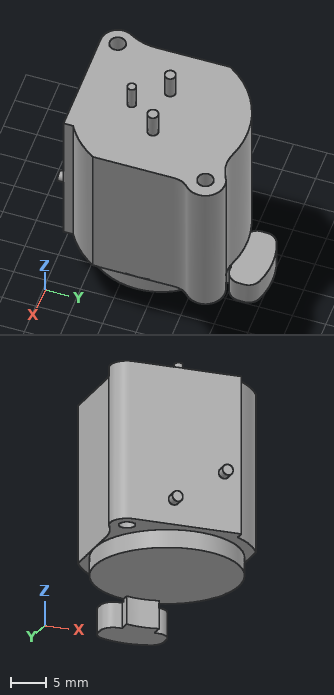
import cadquery as cq
import math

knob_top = 3.9
collar_bottom = 4.25
body_bottom = 6.95
body_top = 30.95
pin_top = 34.8

body_radius = 12.8
side_x = 11.0
front_y = -12.5
step_x = 6.47
hole_offset = 9.92
hole_radius = 1.2
front_ear_radius = -front_y - hole_offset
rear_ear_radius = 2.92
top_blend_radius = 5.0
right_blend_radius = 3.0
front_blend_radius = 8.0

collar_radius = side_x
neck_width = 4.95
neck_inner_radius = 9.78
knob_width = 10.1
knob_front_y = 11.25
knob_rear_y = 16.6
knob_corner_radius = 2.0
knob_crown_radius = 11.0

pin_spacing = 7.62
pin_radius = 0.8
small_pin_radius = 0.63
small_pin_y = -4.45
front_pin_length = 1.53
left_pin_z = 10.72
right_pin_z = 15.8


def along(start, end, distance):
    """Point at a distance from start, on the line towards end."""
    length = math.dist(start, end)
    return tuple(a + (b - a) * distance / length for a, b in zip(start, end))


def arc_middle(center, start, end):
    """Middle of the short arc from start to end."""
    chord_middle = along(start, end, math.dist(start, end) / 2)
    return along(center, chord_middle, math.dist(center, start))


def circle_y(radius, x):
    """Height of a circle above its centre, at x from the centre."""
    return math.sqrt(radius**2 - x**2)


def body_outline():
    axis = (0, 0)
    rear_ear = (hole_offset, hole_offset)
    front_ear = (-hole_offset, -hole_offset)
    corner_y = circle_y(body_radius, side_x)
    step_y = -circle_y(body_radius, step_x)

    ear_distance = math.hypot(*rear_ear)
    to_axis = body_radius + top_blend_radius
    to_ear = rear_ear_radius + top_blend_radius
    apex_cos = (to_axis**2 + ear_distance**2 - to_ear**2) / (2 * to_axis * ear_distance)
    angle = math.atan2(rear_ear[1], rear_ear[0]) + math.acos(apex_cos)
    top_blend = (to_axis * math.cos(angle), to_axis * math.sin(angle))
    arc_end = along(axis, top_blend, body_radius)
    ear_start = along(rear_ear, top_blend, rear_ear_radius)

    right_blend_x = side_x + right_blend_radius
    to_rear_ear = rear_ear_radius + right_blend_radius
    right_blend = (right_blend_x, hole_offset - circle_y(to_rear_ear, right_blend_x - hole_offset))
    ear_end = along(rear_ear, right_blend, rear_ear_radius)
    right_side_top = (side_x, right_blend[1])

    left_blend_x = -side_x - front_blend_radius
    to_front_ear = front_ear_radius + front_blend_radius
    left_blend = (left_blend_x, -hole_offset + circle_y(to_front_ear, left_blend_x + hole_offset))
    left_ear_end = along(front_ear, left_blend, front_ear_radius)
    left_side_bottom = (-side_x, left_blend[1])

    return (
        cq.Workplane("XY", origin=(0, 0, body_bottom))
        .moveTo(-side_x, corner_y)
        .threePointArc((0, body_radius), arc_end)
        .threePointArc(arc_middle(top_blend, arc_end, ear_start), ear_start)
        .threePointArc(along(rear_ear, axis, -rear_ear_radius), ear_end)
        .threePointArc(arc_middle(right_blend, ear_end, right_side_top), right_side_top)
        .lineTo(side_x, -corner_y)
        .threePointArc(along(axis, (1, -1), body_radius), (step_x, step_y))
        .lineTo(step_x, front_y)
        .lineTo(-hole_offset, front_y)
        .threePointArc(along(front_ear, axis, -front_ear_radius), left_ear_end)
        .threePointArc(arc_middle(left_blend, left_ear_end, left_side_bottom), left_side_bottom)
        .close()
    )


def make_body():
    holes = (
        cq.Workplane("XY", origin=(0, 0, body_bottom))
        .pushPoints([(hole_offset, hole_offset), (-hole_offset, -hole_offset)])
        .circle(hole_radius)
        .extrude(body_top - body_bottom)
    )
    return body_outline().extrude(body_top - body_bottom).cut(holes)


def make_collar():
    return (
        cq.Workplane("XY", origin=(0, 0, collar_bottom))
        .circle(collar_radius)
        .extrude(body_bottom - collar_bottom)
    )


def make_knob():
    half_width = knob_width / 2
    crown_side_y = knob_rear_y - knob_crown_radius + circle_y(knob_crown_radius, half_width)
    return (
        cq.Workplane("XY")
        .moveTo(-half_width, knob_front_y)
        .lineTo(half_width, knob_front_y)
        .lineTo(half_width, crown_side_y)
        .threePointArc((0, knob_rear_y), (-half_width, crown_side_y))
        .close()
        .extrude(knob_top)
        .edges("|Z")
        .fillet(knob_corner_radius)
    )


def neck_layer(outer_y, bottom, top):
    """Strip from the hollow inner face of the neck back to outer_y."""
    half_width = neck_width / 2
    inner_side_y = circle_y(neck_inner_radius, half_width)
    return (
        cq.Workplane("XY", origin=(0, 0, bottom))
        .moveTo(-half_width, inner_side_y)
        .threePointArc((0, neck_inner_radius), (half_width, inner_side_y))
        .lineTo(half_width, outer_y)
        .lineTo(-half_width, outer_y)
        .close()
        .extrude(top - bottom)
    )


def make_neck():
    collar_cylinder = cq.Workplane("XY").circle(collar_radius).extrude(body_bottom)
    upper = neck_layer(collar_radius, knob_top, collar_bottom).intersect(collar_cylinder)
    return neck_layer(knob_front_y, 0, knob_top).union(upper)


def make_top_pins():
    height = pin_top - body_top
    base = cq.Workplane("XY", origin=(0, 0, body_top))
    large_pins = base.rarray(pin_spacing, 0.35, 2, 1).circle(pin_radius).extrude(height)
    small_pin = base.center(0, small_pin_y).circle(small_pin_radius).extrude(height)
    return large_pins.union(small_pin)


def make_front_pins():
    return (
        cq.Workplane("XZ", origin=(0, front_y, 0))
        .pushPoints([(-pin_spacing / 2, left_pin_z), (pin_spacing / 2, right_pin_z)])
        .circle(pin_radius)
        .extrude(front_pin_length)
    )


result = make_body()
for piece in (make_collar(), make_neck(), make_knob(), make_top_pins(), make_front_pins()):
    result = result.union(piece)